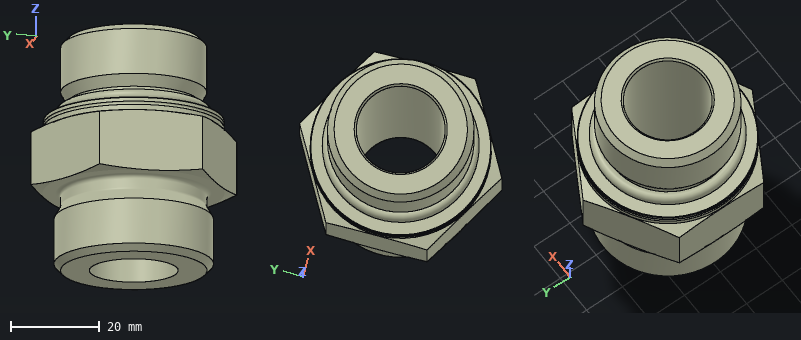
import cadquery as cq
import math

total_height = 53.5
hex_bottom = 18.0
hex_height = 14.0
hex_top = hex_bottom + hex_height
collar_height = 3.0
collar_top = hex_top + collar_height
upper_thread_bottom = 41.5
lower_thread_top = 12.0

across_flats = 41.0
bore_radius = 20.0 / 2
bore_chamfer = 0.5
collar_radius = 40.8 / 2
upper_thread_radius = 33.0 / 2
upper_neck_radius = 30.0 / 2
lower_thread_radius = 36.0 / 2
lower_neck_radius = upper_thread_radius
thread_chamfer = 1.5
runout_angle = math.radians(30)
undercut_radius = 1.05
hex_chamfer_angle = math.radians(15)

collar_groove_bottom = 33.2
collar_groove_width = 0.75
collar_groove_depth = 0.25
collar_edge_chamfer = 0.15

ring_outer_radius = 35.35 / 2
ring_section_radius = 1.45
ring_center_radius = ring_outer_radius - ring_section_radius
ring_center_z = collar_top + ring_section_radius


def make_turned_body():
    """Revolve the threaded ends, necks and collar as one solid profile."""
    upper_runout = (upper_thread_radius - upper_neck_radius) / math.tan(runout_angle)
    lower_runout = (lower_thread_radius - lower_neck_radius) / math.tan(runout_angle)

    cone_corner_z = lower_thread_top + lower_runout
    blend_center_z = cone_corner_z + undercut_radius * math.tan(runout_angle / 2)
    blend_center_r = lower_neck_radius + undercut_radius

    def blend_point(angle):
        return (
            blend_center_r - undercut_radius * math.cos(angle),
            blend_center_z - undercut_radius * math.sin(angle),
        )

    fillet_center_r = lower_neck_radius + undercut_radius
    fillet_center_z = hex_bottom - undercut_radius
    fillet_mid = (
        fillet_center_r - undercut_radius * math.cos(math.radians(45)),
        fillet_center_z + undercut_radius * math.sin(math.radians(45)),
    )

    groove_mid = (
        collar_radius - collar_groove_depth,
        collar_groove_bottom + collar_groove_width / 2,
    )
    groove_top = (collar_radius, collar_groove_bottom + collar_groove_width)

    return (
        cq.Workplane("XZ")
        .moveTo(0, 0)
        .lineTo(lower_thread_radius - thread_chamfer, 0)
        .lineTo(lower_thread_radius, thread_chamfer)
        .lineTo(lower_thread_radius, lower_thread_top)
        .lineTo(*blend_point(runout_angle))
        .threePointArc(blend_point(runout_angle / 2), blend_point(0))
        .lineTo(lower_neck_radius, fillet_center_z)
        .threePointArc(fillet_mid, (fillet_center_r, hex_bottom))
        .lineTo(collar_radius, hex_bottom)
        .lineTo(collar_radius, collar_groove_bottom)
        .threePointArc(groove_mid, groove_top)
        .lineTo(collar_radius, collar_top - collar_edge_chamfer)
        .lineTo(collar_radius - collar_edge_chamfer, collar_top)
        .lineTo(upper_neck_radius, collar_top)
        .lineTo(upper_neck_radius, upper_thread_bottom - upper_runout)
        .lineTo(upper_thread_radius, upper_thread_bottom)
        .lineTo(upper_thread_radius, total_height - thread_chamfer)
        .lineTo(upper_thread_radius - thread_chamfer, total_height)
        .lineTo(0, total_height)
        .close()
        .revolve(360, (0, 0, 0), (0, 1, 0))
    )


def make_hexagon():
    """Hexagon with corners on the Y axis and both ends chamfered conically."""
    flat_radius = across_flats / 2
    corner_radius = across_flats / math.sqrt(3)
    corner_drop = (corner_radius - flat_radius) * math.tan(hex_chamfer_angle)
    prism = (
        cq.Workplane("XY")
        .workplane(offset=hex_bottom)
        .polygon(6, 2 * corner_radius)
        .extrude(hex_height)
        .rotate((0, 0, 0), (0, 0, 1), 90)
    )
    chamfer_envelope = (
        cq.Workplane("XZ")
        .moveTo(0, hex_bottom)
        .lineTo(flat_radius, hex_bottom)
        .lineTo(corner_radius, hex_bottom + corner_drop)
        .lineTo(corner_radius, hex_top - corner_drop)
        .lineTo(flat_radius, hex_top)
        .lineTo(0, hex_top)
        .close()
        .revolve(360, (0, 0, 0), (0, 1, 0))
    )
    return prism.intersect(chamfer_envelope)


def make_bore():
    """Through bore with a chamfered upper mouth."""
    mouth_radius = bore_radius + bore_chamfer
    return (
        cq.Workplane("XZ")
        .moveTo(0, 0)
        .lineTo(bore_radius, 0)
        .lineTo(bore_radius, total_height - bore_chamfer)
        .lineTo(mouth_radius, total_height)
        .lineTo(0, total_height)
        .close()
        .revolve(360, (0, 0, 0), (0, 1, 0))
    )


def make_sealing_ring():
    """O-ring of round section around the upper neck."""
    return (
        cq.Workplane("XZ")
        .center(ring_center_radius, ring_center_z)
        .circle(ring_section_radius)
        .revolve(360, (-ring_center_radius, 0, 0), (-ring_center_radius, 1, 0))
    )


sealing_ring = make_sealing_ring()

fitting = make_turned_body().union(make_hexagon()).cut(make_bore()).cut(sealing_ring)

result = cq.Compound.makeCompound([fitting.solids().val(), sealing_ring.val()])